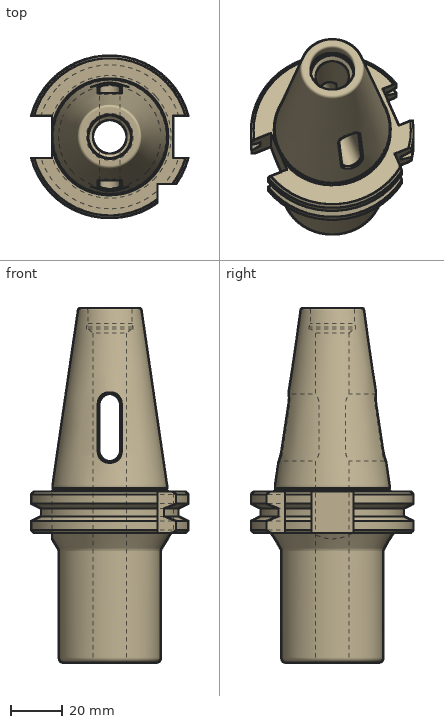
import cadquery as cq
import math

total_height = 138.4
gauge_height = 69.0
flange_bottom = 50.7
flange_top = 66.8
neck_bottom = 44.0

body_radius = 19.9
nose_radius = 12.3
relief_radius = 22.0
flare_radius = 22.8
flange_radius = 63.5 / 2
groove_radius = 28.1
neck_top_radius = 24.0

taper_slope = 7 / 24 / 2
gauge_radius = nose_radius + (total_height - gauge_height) * taper_slope

gauge_land = 0.8
flare_height = 0.7

nose_rounding = 1.1
body_rounding = 2.0
flange_chamfer = 1.1
neck_rounding = 1.7

groove_middle = 58.7
groove_floor_width = 3.0
groove_mouth_width = 6.8

bore_radius = 6.5
counterbore_radius = 8.6
counterbore_depth = 6.1
counterbore_rounding = 0.8
seat_radius = 8.3
undercut_depth = 0.5
undercut_lead_in = 1.4
undercut_floor_width = 0.8
seat_cone_angle = 100

slot_width = 8.0
slot_length = 26.2
slot_middle = 91.8
slot_chamfer = 0.7

drive_slot_width = 16.3
left_drive_floor = 22.5
right_drive_floor = 24.8

notch_left = 18.7
notch_back = -18.4


def turned_body():
    groove_floor_half = groove_floor_width / 2
    groove_mouth_half = groove_mouth_width / 2
    profile = (
        cq.Workplane("XZ")
        .lineTo(body_radius - body_rounding, 0)
        .radiusArc((body_radius, body_rounding), -body_rounding)
        .lineTo(body_radius, neck_bottom)
        .lineTo(neck_top_radius, flange_bottom)
        .lineTo(flange_radius - flange_chamfer, flange_bottom)
        .lineTo(flange_radius, flange_bottom + flange_chamfer)
        .lineTo(flange_radius, groove_middle - groove_mouth_half)
        .lineTo(groove_radius, groove_middle - groove_floor_half)
        .lineTo(groove_radius, groove_middle + groove_floor_half)
        .lineTo(flange_radius, groove_middle + groove_mouth_half)
        .lineTo(flange_radius, flange_top - flange_chamfer)
        .lineTo(flange_radius - flange_chamfer, flange_top)
        .lineTo(flare_radius, flange_top)
        .lineTo(relief_radius, flange_top + flare_height)
        .lineTo(gauge_radius, gauge_height - gauge_land)
        .lineTo(gauge_radius, gauge_height)
        .lineTo(nose_radius, total_height)
        .lineTo(0, total_height)
        .close()
    )
    body = profile.revolve(360, (0, 0, 0), (0, 1, 0))
    neck_foot = cq.selectors.BoxSelector(
        (-flange_radius, -flange_radius, neck_bottom - neck_rounding),
        (flange_radius, flange_radius, neck_bottom + neck_rounding),
    )
    body = body.edges("%CIRCLE").edges(neck_foot).fillet(neck_rounding)
    return body.faces(">Z").edges().fillet(nose_rounding)


def nose_bore():
    undercut_radius = counterbore_radius + undercut_depth
    undercut_top = total_height - counterbore_depth
    undercut_floor_top = undercut_top - undercut_lead_in
    undercut_floor_bottom = undercut_floor_top - undercut_floor_width
    cone_height = (seat_radius - bore_radius) / math.tan(math.radians(seat_cone_angle / 2))
    mouth_radius = counterbore_radius + counterbore_rounding
    return (
        cq.Workplane("XZ")
        .lineTo(bore_radius, 0)
        .lineTo(bore_radius, undercut_floor_bottom - cone_height)
        .lineTo(seat_radius, undercut_floor_bottom)
        .lineTo(undercut_radius, undercut_floor_bottom)
        .lineTo(undercut_radius, undercut_floor_top)
        .lineTo(counterbore_radius, undercut_top)
        .lineTo(counterbore_radius, total_height - counterbore_rounding)
        .radiusArc((mouth_radius, total_height), counterbore_rounding)
        .lineTo(0, total_height)
        .close()
        .revolve(360, (0, 0, 0), (0, 1, 0))
    )


def drift_slot():
    return (
        cq.Workplane("XZ")
        .center(0, slot_middle)
        .slot2D(slot_length, slot_width, 90)
        .extrude(gauge_radius, both=True)
    )


def chamfer_slot_rims(body):
    half_length = slot_length / 2 + slot_chamfer
    for side in (-1, 1):
        mouth_region = cq.selectors.BoxSelector(
            (-slot_width, side * bore_radius, slot_middle - half_length),
            (slot_width, side * gauge_radius, slot_middle + half_length),
        )
        body = body.edges(mouth_region).chamfer(slot_chamfer)
    return body


def drive_slot(floor, side):
    depth = flange_radius
    return (
        cq.Workplane("XY")
        .box(depth, drive_slot_width, gauge_height, centered=(True, True, False))
        .translate((side * (floor + depth / 2), 0, 0))
    )


def orientation_notch():
    size = flange_radius
    return (
        cq.Workplane("XY", origin=(0, 0, flange_bottom))
        .rect(size, -size, centered=False)
        .extrude(flange_top - flange_bottom)
        .translate((notch_left, notch_back, 0))
    )


result = chamfer_slot_rims(turned_body().cut(drift_slot()))
result = result.cut(nose_bore())
result = result.cut(drive_slot(left_drive_floor, -1))
result = result.cut(drive_slot(right_drive_floor, 1))
result = result.cut(orientation_notch())